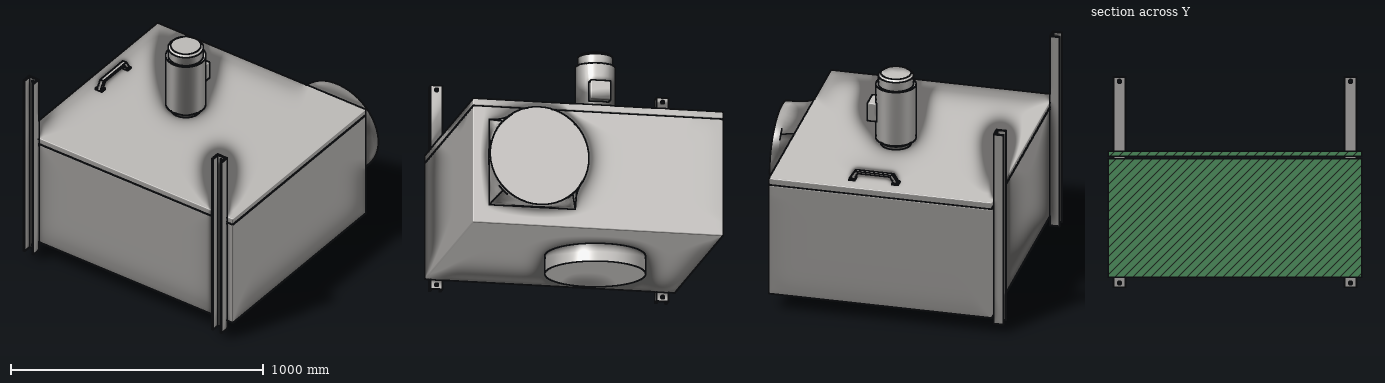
import cadquery as cq
import math

cabinet_width = 1016.0
cabinet_depth = 913.0
cabinet_height = 510.0
lid_height = 31.0
sheet_bend_radius = 4.9
front_y = -cabinet_depth / 2
back_y = cabinet_depth / 2

duct_diameter = 400.0
inlet_length = 73.0
outlet_x = 268.0
outlet_z = 250.0
outlet_square = 349.0
outlet_length = 140.0
outlet_collar_length = 32.0

motor_x = -76.0
motor_y = 44.0
motor_flange_diameter = 120.0
motor_flange_height = 12.0
motor_neck_diameter = 91.0
motor_body_diameter = 159.0
motor_body_bottom = 26.0
motor_body_top = 261.0
motor_cap_diameter = 140.0
motor_cap_top = 310.0
motor_cap_chamfer = 10.0

terminal_width = 83.0
terminal_height = 80.0
terminal_reach = 108.0
terminal_bottom = 104.0
terminal_edge_radius = 5.0

handle_x = -429.0
handle_length = 202.0
handle_height = 37.0
handle_top_length = 155.0
handle_thickness = 9.0
handle_width = 16.0
leg_bend_height = 12.0
foot_width = 33.0
foot_length = 25.0
foot_height = 4.0

channel_x = 458.0
channel_width = 48.0
channel_depth = 39.0
channel_length = 833.0
channel_wall = 7.0
channel_bottom = -35.0
channel_hole_diameter = 13.0
channel_hole_inset = 17.0


def rounded_box(bottom, height):
    """Sheet-metal box of the cabinet's plan size with every edge rounded."""
    box = cq.Workplane("XY", origin=(0, 0, bottom)).box(
        cabinet_width, cabinet_depth, height, centered=(True, True, False)
    )
    return box.edges().fillet(sheet_bend_radius)


def upright_cylinder(diameter, bottom, height):
    """Cylinder on the motor axis."""
    plane = cq.Workplane("XY", origin=(motor_x, motor_y, bottom))
    return plane.circle(diameter / 2).extrude(height)


def make_cabinet():
    body_height = cabinet_height - lid_height
    return rounded_box(0, body_height).union(rounded_box(body_height, lid_height))


def make_outlet():
    """Square-to-round transition ending in a round collar."""
    radius = duct_diameter / 2
    half = outlet_square / 2
    transition_length = outlet_length - outlet_collar_length
    diagonal = radius / math.sqrt(2)

    signs = [(-1, -1), (1, -1), (1, 1), (-1, 1)]
    middles = [(0, -radius), (radius, 0), (0, radius), (-radius, 0)]
    base = cq.Plane(origin=(outlet_x, back_y, outlet_z), xDir=(-1, 0, 0), normal=(0, 1, 0))
    square = cq.Workplane(base).polyline([(half * u, half * v) for u, v in signs]).close()
    ring = cq.Workplane(base).workplane(offset=transition_length)
    ring = ring.moveTo(-diagonal, -diagonal)
    for (u, v), middle in zip(signs[1:] + signs[:1], middles):
        ring = ring.threePointArc(middle, (diagonal * u, diagonal * v))
    ring = ring.close()

    transition = cq.Solid.makeLoft([square.val(), ring.val()], True)
    collar = cq.Workplane(base).workplane(offset=transition_length)
    collar = collar.circle(radius).extrude(outlet_collar_length)
    return collar.union(cq.Workplane(transition))


def make_motor():
    flange = upright_cylinder(motor_flange_diameter, cabinet_height, motor_flange_height)
    neck = upright_cylinder(motor_neck_diameter, cabinet_height, motor_body_bottom)
    body = upright_cylinder(
        motor_body_diameter, cabinet_height + motor_body_bottom, motor_body_top - motor_body_bottom
    )
    cap = upright_cylinder(
        motor_cap_diameter, cabinet_height + motor_body_top, motor_cap_top - motor_body_top
    )
    cap = cap.faces(">Z").edges().chamfer(motor_cap_chamfer)
    return flange.union(neck).union(body).union(cap).union(make_terminal_box())


def make_terminal_box():
    plane = cq.Workplane("XY", origin=(motor_x, motor_y, cabinet_height + terminal_bottom))
    box = plane.box(terminal_width, terminal_reach, terminal_height, centered=(True, False, False))
    return box.faces(">Y or <X or >X").edges("not <Y").fillet(terminal_edge_radius)


def handle_slice(points, width):
    """Extrude a (y, z) outline to both sides of the handle's middle plane."""
    plane = cq.Workplane("YZ", origin=(handle_x, motor_y, cabinet_height))
    return plane.polyline(points).close().extrude(width / 2, both=True)


def make_handle():
    """Bent bar with sloping legs, each standing on a wider foot."""
    half_base = handle_length / 2
    half_top = handle_top_length / 2
    leg_slope = (half_base - half_top) / handle_height
    under_top = handle_height - handle_thickness
    half_inner_base = half_base - foot_length
    half_inner_top = half_inner_base - leg_slope * (under_top - leg_bend_height)
    bar = handle_slice(
        [
            (-half_base, 0),
            (-half_top, handle_height),
            (half_top, handle_height),
            (half_base, 0),
            (half_inner_base, 0),
            (half_inner_base, leg_bend_height),
            (half_inner_top, under_top),
            (-half_inner_top, under_top),
            (-half_inner_base, leg_bend_height),
            (-half_inner_base, 0),
        ],
        handle_width,
    )
    for side in (-1, 1):
        foot = handle_slice(
            [
                (side * half_base, 0),
                (side * (half_base - leg_slope * foot_height), foot_height),
                (side * half_inner_base, foot_height),
                (side * half_inner_base, 0),
            ],
            foot_width,
        )
        bar = bar.union(foot)
    return bar


def make_channel(x):
    """Upright U channel with a fixing hole through the web near each end."""
    outer = cq.Workplane("XY", origin=(x, front_y - channel_depth / 2, channel_bottom)).box(
        channel_width, channel_depth, channel_length, centered=(True, True, False)
    )
    inside_width = channel_width - 2 * channel_wall
    hollow = cq.Workplane("XY", origin=(x, front_y - channel_wall - channel_depth / 2, channel_bottom))
    hollow = hollow.box(inside_width, channel_depth, channel_length, centered=(True, True, False))
    channel = outer.cut(hollow)

    hole_heights = (
        channel_bottom + channel_hole_inset,
        channel_bottom + channel_length - channel_hole_inset,
    )
    holes = cq.Workplane("XZ", origin=(x, front_y, 0)).pushPoints([(0, z) for z in hole_heights])
    return channel.cut(holes.circle(channel_hole_diameter / 2).extrude(channel_wall))


result = make_cabinet()
result = result.union(upright_cylinder(duct_diameter, -inlet_length, inlet_length))
result = result.union(make_outlet())
result = result.union(make_motor())
result = result.union(make_handle())
for channel_side in (-1, 1):
    result = result.union(make_channel(channel_side * channel_x))